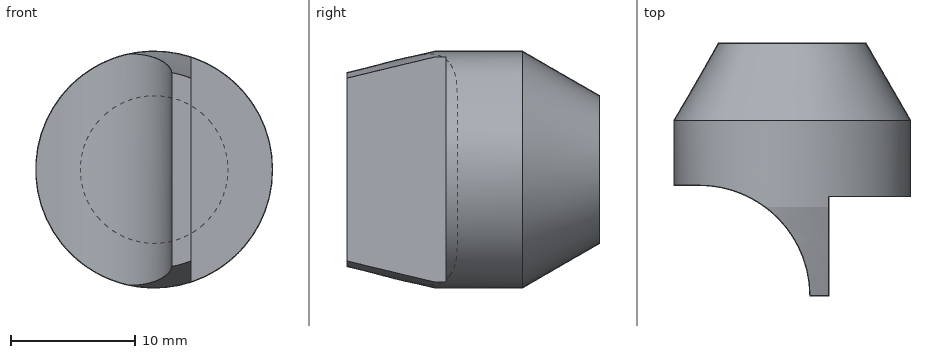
import cadquery as cq
import math

length = 20.32
body_radius = 9.53
back_taper_length = 6.22
back_taper_angle = 30.0
front_taper_start = 13.2
tip_radius = 7.92

blade_thickness = 1.52
blade_right = 2.95
scoop_radius = 8.88
step_depth = 12.33

blade_left = blade_right - blade_thickness
scoop_center_x = blade_left - scoop_radius
scoop_floor = length - scoop_radius
back_radius = body_radius - back_taper_length * math.tan(math.radians(back_taper_angle))
cut_height = 3 * body_radius
cut_side = 2 * body_radius


def turned_body():
    """Cylinder with a tapered back and a slightly tapered front."""
    return (
        cq.Workplane("XY")
        .moveTo(0, 0)
        .lineTo(back_radius, 0)
        .lineTo(body_radius, -back_taper_length)
        .lineTo(body_radius, -front_taper_start)
        .lineTo(tip_radius, -length)
        .lineTo(0, -length)
        .close()
        .revolve(360, (0, 0, 0), (0, 1, 0))
    )


def scoop_cut():
    """Quarter-round hollow that runs out into a flat on the -X side."""
    arc_offset = scoop_radius * math.sqrt(0.5)
    return (
        cq.Workplane("XY")
        .moveTo(blade_left, -length)
        .threePointArc(
            (scoop_center_x + arc_offset, -length + arc_offset),
            (scoop_center_x, -scoop_floor),
        )
        .lineTo(-cut_side, -scoop_floor)
        .lineTo(-cut_side, -length)
        .close()
        .extrude(cut_height / 2, both=True)
    )


def step_cut():
    """Square step that leaves the flat +X face of the blade."""
    return cq.Workplane("XY").box(
        cut_side - blade_right, length - step_depth, cut_height, centered=(False, False, True)
    ).translate((blade_right, -length, 0))


result = turned_body().cut(scoop_cut()).cut(step_cut())